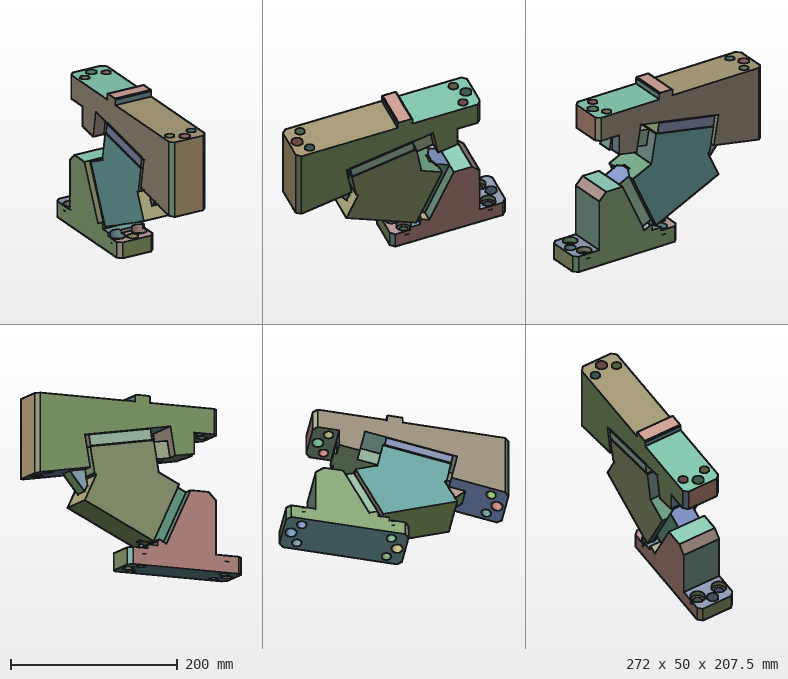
import cadquery as cq
import math


LENGTH = 272.0
WIDTH = 50.0
HEIGHT = 207.5
CORNER = 5.2
SLIDE_ANGLE = 25.0
CAM_ANGLE = 10.0
BOLT_HALF_PITCH = 15.0
BOLT_DIAMETER = 11.5
BOLT_INSET = 20.0
DOWEL_DIAMETER = 13.5
DOWEL_INSET = 10.0

BASE_LENGTH = 150.0
BASE_HEIGHT = 21.0
COLUMN_LEFT = 35.0
COLUMN_TOP = 96.8
COLUMN_CHAMFER = 10.0
LEDGE_TOP_X = 68.8
LEDGE_LENGTH = 75.3
TOE_REACH = 10.5
TOE_STEP_X = 112.0
PAD_TOP = 25.3
PAD_RIGHT = 125.0
TOE_CHAMFER = 2.5
COUNTERBORE_DIAMETER = 18.0
COUNTERBORE_DEPTH = 7.0

RIDGE_SHOULDER = 16.0
RIDGE_FRONT = 17.7
RIDGE_BACK = 11.7
FLANK_ANGLE = 30.0
FLAT_HALF_WIDTH = 5.5
RELIEF_DEPTH = 2.2

FACE_WIDTH = 80.0
SLIDER_LENGTH = 100.0
SLIDER_END = 36.0
SLIDER_TOP_LENGTH = 85.0
SLIDER_TOP_LEFT = (117.5, 153.7)
SLIDER_DROP = 1.0
SLIDER_LEFT_SIDE = 39.2
SLIDER_RIGHT_SIDE = 32.6
PLATE_INSET = 2.0
PLATE_LENGTH = 82.5
PLATE_HEIGHT = 15.0
PLATE_CHAMFER = 0.8

DRIVER_LEFT = 32.6
DRIVER_TOP = 199.0
OVERHANG_BOTTOM = 167.8
LEG_LEFT = 64.0
CAVITY_LEFT_GAP = 25.0
CAVITY_LENGTH = 114.5
RIGHT_WALL = 40.0
KEY_LEFT = 122.5
KEY_WIDTH = 19.3
KEY_CHAMFER = 1.4
TONGUE_WIDTH = 20.0
TONGUE_HEIGHT = 21.0
TONGUE_OVERHANG = 3.8
STOP_HEIGHT = 15.0
RIB_BASE = 20.5
RIB_ANGLE = 60.0


def step(point, angle, distance):
    """The XZ point at a distance from another, at an angle from +X towards +Z."""
    a = math.radians(angle)
    return (point[0] + distance * math.cos(a), point[1] + distance * math.sin(a))


def slab(points, y_front, y_back):
    """An XZ outline extruded from y_front to y_back."""
    return cq.Workplane("XZ", origin=(0, y_front, 0)).polyline(points).close().extrude(y_front - y_back)


def full_slab(points):
    return slab(points, -WIDTH / 2, WIDTH / 2)


def hole(x, y, diameter, z_bottom, z_top):
    return cq.Workplane("XY", origin=(x, y, z_bottom)).circle(diameter / 2).extrude(z_top - z_bottom)


UP_SLIDE = 90 + SLIDE_ANGLE
OFF_SLIDE = SLIDE_ANGLE
ALONG_CAM = -CAM_ANGLE
OFF_CAM = 90 - CAM_ANGLE

LEDGE_TOP = (LEDGE_TOP_X, COLUMN_TOP)
LEDGE_BOTTOM = step(LEDGE_TOP, UP_SLIDE, -LEDGE_LENGTH)
RIDGE_TOP = step(LEDGE_TOP, OFF_SLIDE, RIDGE_SHOULDER)
SLIDER_FACE_TOP = step(RIDGE_TOP, UP_SLIDE, -SLIDER_DROP)
FLANK_SLOPE = math.tan(math.radians(FLANK_ANGLE))
FLAT_HEIGHT = (RIDGE_FRONT - FLAT_HALF_WIDTH) * FLANK_SLOPE


def slide_prism(profile, start, length):
    """A (y, height) profile square to the slide, run down the slide from an XZ point."""
    a = math.radians(SLIDE_ANGLE)
    plane = cq.Plane(
        origin=(start[0], 0, start[1]),
        xDir=(0, 1, 0),
        normal=(math.sin(a), 0, -math.cos(a)),
    )
    return cq.Workplane(plane).polyline(profile).close().extrude(length)


def base_body():
    toe = step(LEDGE_BOTTOM, OFF_SLIDE, TOE_REACH)
    column = full_slab([
        (COLUMN_LEFT, 0),
        (COLUMN_LEFT, COLUMN_TOP - COLUMN_CHAMFER),
        (COLUMN_LEFT + COLUMN_CHAMFER, COLUMN_TOP),
        LEDGE_TOP,
        LEDGE_BOTTOM,
        toe,
        (TOE_STEP_X, toe[1] - TOE_CHAMFER),
        (TOE_STEP_X, PAD_TOP),
        (PAD_RIGHT, PAD_TOP),
        (PAD_RIGHT, 0),
    ])
    foot = (
        cq.Workplane("XY")
        .box(BASE_LENGTH, WIDTH, BASE_HEIGHT, centered=(False, True, False))
        .edges("|Z").chamfer(CORNER)
    )
    back_height = RIDGE_SHOULDER + (RIDGE_FRONT - RIDGE_BACK) * FLANK_SLOPE
    ridge = slide_prism([
        (-RIDGE_FRONT, 0),
        (-RIDGE_FRONT, RIDGE_SHOULDER),
        (-FLAT_HALF_WIDTH, RIDGE_SHOULDER + FLAT_HEIGHT),
        (FLAT_HALF_WIDTH, RIDGE_SHOULDER + FLAT_HEIGHT),
        (RIDGE_BACK, back_height),
        (RIDGE_BACK, 0),
    ], LEDGE_TOP, LEDGE_LENGTH)
    base = foot.union(column).union(ridge)
    for dowel_x, bolt_x in [
        (DOWEL_INSET, BOLT_INSET),
        (BASE_LENGTH - DOWEL_INSET, BASE_LENGTH - BOLT_INSET),
    ]:
        base = base.cut(hole(dowel_x, 0, DOWEL_DIAMETER, 0, BASE_HEIGHT))
        for y in (-BOLT_HALF_PITCH, BOLT_HALF_PITCH):
            base = base.cut(hole(bolt_x, y, BOLT_DIAMETER, 0, BASE_HEIGHT))
            seat = BASE_HEIGHT - COUNTERBORE_DEPTH
            base = base.cut(hole(bolt_x, y, COUNTERBORE_DIAMETER, seat, PAD_TOP))
    return base


SLIDER_TOP_RIGHT = step(SLIDER_TOP_LEFT, ALONG_CAM, SLIDER_TOP_LENGTH)
CAVITY_LOW_LEFT = step(SLIDER_TOP_LEFT, ALONG_CAM, -CAVITY_LEFT_GAP)
CAVITY_TOP_LEFT = step(CAVITY_LOW_LEFT, OFF_CAM, PLATE_HEIGHT)
CAVITY_TOP_RIGHT = step(CAVITY_TOP_LEFT, ALONG_CAM, CAVITY_LENGTH)
RIGHT_WALL_BOTTOM = step(CAVITY_TOP_RIGHT, OFF_CAM, -RIGHT_WALL)


def rib():
    """The triangular rib under the driver, in line with the right cavity wall."""
    depth = RIB_BASE * math.tan(math.radians(RIB_ANGLE))
    return slab([
        RIGHT_WALL_BOTTOM,
        step(RIGHT_WALL_BOTTOM, ALONG_CAM, RIB_BASE),
        step(RIGHT_WALL_BOTTOM, OFF_CAM, -depth),
    ], -TONGUE_WIDTH / 2, TONGUE_WIDTH / 2)


def slider_body():
    face_bottom = step(SLIDER_FACE_TOP, UP_SLIDE, -FACE_WIDTH)
    lower_right = step(face_bottom, OFF_SLIDE, SLIDER_LENGTH)
    end_top = step(lower_right, UP_SLIDE, SLIDER_END)
    block = full_slab([
        SLIDER_FACE_TOP,
        face_bottom,
        lower_right,
        end_top,
        step(SLIDER_TOP_RIGHT, OFF_CAM, -SLIDER_RIGHT_SIDE),
        SLIDER_TOP_RIGHT,
        SLIDER_TOP_LEFT,
        step(SLIDER_TOP_LEFT, OFF_CAM, -SLIDER_LEFT_SIDE),
    ])
    groove = slide_prism([
        (-RIDGE_FRONT, 0),
        (-FLAT_HALF_WIDTH, FLAT_HEIGHT),
        (-FLAT_HALF_WIDTH, FLAT_HEIGHT + RELIEF_DEPTH),
        (FLAT_HALF_WIDTH, FLAT_HEIGHT + RELIEF_DEPTH),
        (FLAT_HALF_WIDTH, FLAT_HEIGHT),
        (RIDGE_FRONT, 0),
    ], SLIDER_FACE_TOP, FACE_WIDTH)
    plate_left = step(SLIDER_TOP_LEFT, ALONG_CAM, PLATE_INSET)
    plate_right = step(plate_left, ALONG_CAM, PLATE_LENGTH)
    plate = full_slab([
        plate_left,
        plate_right,
        step(plate_right, OFF_CAM, PLATE_HEIGHT),
        step(plate_left, OFF_CAM, PLATE_HEIGHT),
    ])
    run_x, run_z = step((0, 0), ALONG_CAM, 1)
    cam_direction = cq.Vector(run_x, 0, run_z)
    plate = plate.edges(cq.selectors.ParallelDirSelector(cam_direction)).chamfer(PLATE_CHAMFER)
    return block.cut(groove).union(plate).cut(rib())


def driver_body():
    cam_slope = math.tan(math.radians(CAM_ANGLE))
    tongue_right = step(SLIDER_TOP_LEFT, OFF_CAM, -TONGUE_HEIGHT)

    def leg_bottom(x):
        """Height of the inclined leg bottom, which lies in line with the tongue bottom."""
        return tongue_right[1] + (tongue_right[0] - x) * cam_slope

    right_drop = (LENGTH - RIGHT_WALL_BOTTOM[0]) * cam_slope
    block = full_slab([
        (DRIVER_LEFT, DRIVER_TOP),
        (DRIVER_LEFT, OVERHANG_BOTTOM),
        (LEG_LEFT, OVERHANG_BOTTOM),
        (LEG_LEFT, leg_bottom(LEG_LEFT)),
        step(CAVITY_LOW_LEFT, OFF_CAM, -TONGUE_HEIGHT),
        CAVITY_TOP_LEFT,
        CAVITY_TOP_RIGHT,
        RIGHT_WALL_BOTTOM,
        (LENGTH, RIGHT_WALL_BOTTOM[1] - right_drop),
        (LENGTH, DRIVER_TOP),
    ])
    block = block.edges("|Z and (<X or >X)").chamfer(CORNER)
    key = full_slab([
        (KEY_LEFT, DRIVER_TOP),
        (KEY_LEFT, HEIGHT - KEY_CHAMFER),
        (KEY_LEFT + KEY_CHAMFER, HEIGHT),
        (KEY_LEFT + KEY_WIDTH - KEY_CHAMFER, HEIGHT),
        (KEY_LEFT + KEY_WIDTH, HEIGHT - KEY_CHAMFER),
        (KEY_LEFT + KEY_WIDTH, DRIVER_TOP),
    ])
    tongue_end_x = LEG_LEFT - TONGUE_OVERHANG
    tongue_left = (tongue_end_x, leg_bottom(tongue_end_x))
    tongue = slab([
        tongue_left,
        tongue_right,
        SLIDER_TOP_LEFT,
        step(tongue_left, OFF_CAM, TONGUE_HEIGHT),
    ], -TONGUE_WIDTH / 2, TONGUE_WIDTH / 2)
    stop_right = step(CAVITY_TOP_RIGHT, OFF_CAM, -PLATE_HEIGHT)
    stop = slab([
        SLIDER_TOP_RIGHT,
        stop_right,
        step(stop_right, OFF_CAM, -STOP_HEIGHT),
        step(SLIDER_TOP_RIGHT, OFF_CAM, -STOP_HEIGHT),
    ], -TONGUE_WIDTH / 2, TONGUE_WIDTH / 2)
    driver = block.union(key).union(tongue).union(stop).union(rib())
    for dowel_x, bolt_x in [
        (DRIVER_LEFT + DOWEL_INSET, DRIVER_LEFT + BOLT_INSET),
        (LENGTH - DOWEL_INSET, LENGTH - BOLT_INSET),
    ]:
        driver = driver.cut(hole(dowel_x, 0, DOWEL_DIAMETER, 0, DRIVER_TOP))
        for y in (-BOLT_HALF_PITCH, BOLT_HALF_PITCH):
            driver = driver.cut(hole(bolt_x, y, BOLT_DIAMETER, 0, DRIVER_TOP))
    return driver


base = base_body()
slider = slider_body()
driver = driver_body()
result = cq.Compound.makeCompound([body.solids().val() for body in (base, slider, driver)])